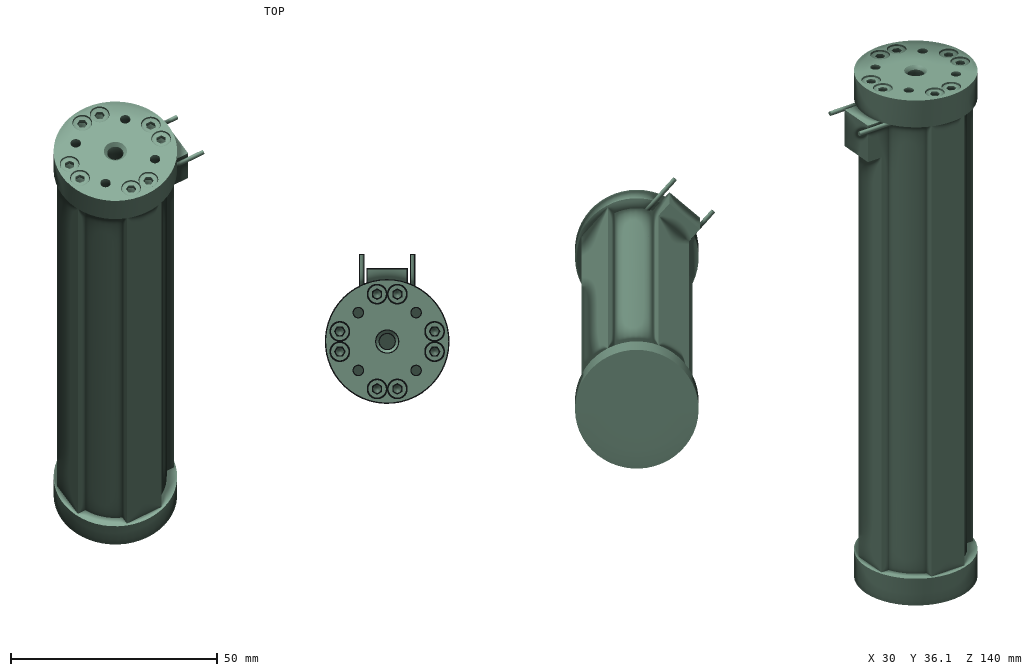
import cadquery as cq
import math

total_length = 140.0
cap_radius = 15.0
cap_thickness = 7.4
cap_underside_z = total_length - cap_thickness
column_length = total_length - 2 * cap_thickness

core_radius = 12.5
ridge_reach = 13.6
ridge_width = 9.8

block_reach = 17.6
block_height = 10.1
wire_radius = 0.5
wire_offset = 6.2
wire_tip_y = 21.1
wire_root_y = 10.8

screw_row_distance = 11.5
screw_pair_spacing = 4.9
counterbore_radius = 2.4
counterbore_depth = 2.8
head_radius = 2.2
head_height = 2.4
socket_corner_width = 2.5
socket_depth = 1.1
socket_tip_depth = 0.5

bore_radius = 2.0
bore_depth = cap_thickness
bore_chamfer = 0.8
mount_hole_radius = 1.3
mount_hole_spacing = 14.0
mount_hole_depth = 5.6

side_angles = [0, 90, 180, 270]


def disc(radius, height, base_z):
    return cq.Workplane("XY").workplane(offset=base_z).circle(radius).extrude(height)


def make_column():
    column = disc(core_radius, column_length, cap_thickness)
    section = cq.Workplane("XY").workplane(offset=cap_thickness)
    for x_size, y_size in [(2 * ridge_reach, ridge_width), (ridge_width, 2 * ridge_reach)]:
        column = column.union(section.rect(x_size, y_size).extrude(column_length))
    return column


def make_block():
    return cq.Workplane("XY").box(
        ridge_width, block_reach, block_height, centered=(True, False, False)
    ).translate((0, 0, cap_underside_z - block_height))


def make_wire(x):
    return (
        cq.Workplane("XZ", origin=(x, wire_root_y, cap_underside_z - wire_radius))
        .circle(wire_radius)
        .extrude(wire_root_y - wire_tip_y)
    )


def make_screw_pair(shape):
    seat_z = total_length - counterbore_depth
    return [
        shape.translate((screw_row_distance, y, seat_z))
        for y in (-screw_pair_spacing / 2, screw_pair_spacing / 2)
    ]


def place_at_screws(shape):
    return [
        copy.rotate((0, 0, 0), (0, 0, 1), angle)
        for angle in side_angles
        for copy in make_screw_pair(shape)
    ]


def make_screw_head():
    head = disc(head_radius, head_height, 0)
    socket_floor_z = head_height - socket_depth
    socket = (
        cq.Workplane("XY")
        .workplane(offset=socket_floor_z)
        .polygon(6, socket_corner_width)
        .extrude(socket_depth)
    )
    inscribed_radius = socket_corner_width / 2 * math.cos(math.pi / 6)
    socket_tip = cq.Workplane("XY").add(
        cq.Solid.makeCone(
            inscribed_radius,
            0,
            socket_tip_depth,
            pnt=cq.Vector(0, 0, socket_floor_z),
            dir=cq.Vector(0, 0, -1),
        )
    )
    return head.cut(socket).cut(socket_tip)


def cut_holes(body):
    top = cq.Workplane("XY").workplane(offset=total_length)
    bore = top.circle(bore_radius).extrude(-bore_depth)
    bore_mouth = cq.Workplane("XY").add(
        cq.Solid.makeCone(
            bore_radius,
            bore_radius + bore_chamfer,
            bore_chamfer,
            pnt=cq.Vector(0, 0, total_length - bore_chamfer),
        )
    )
    mount_holes = (
        top.rect(mount_hole_spacing, mount_hole_spacing, forConstruction=True)
        .vertices()
        .circle(mount_hole_radius)
        .extrude(-mount_hole_depth)
    )
    return body.cut(bore).cut(bore_mouth).cut(mount_holes)


def add_screws(body):
    for counterbore in place_at_screws(disc(counterbore_radius, counterbore_depth, 0)):
        body = body.cut(counterbore)
    for head in place_at_screws(make_screw_head()):
        body = body.union(head)
    return body


body = make_column()
body = body.union(disc(cap_radius, cap_thickness, 0))
body = body.union(disc(cap_radius, cap_thickness, cap_underside_z))
body = body.union(make_block())
for wire_x in (-wire_offset, wire_offset):
    body = body.union(make_wire(wire_x))

body = cut_holes(body)
result = add_screws(body)